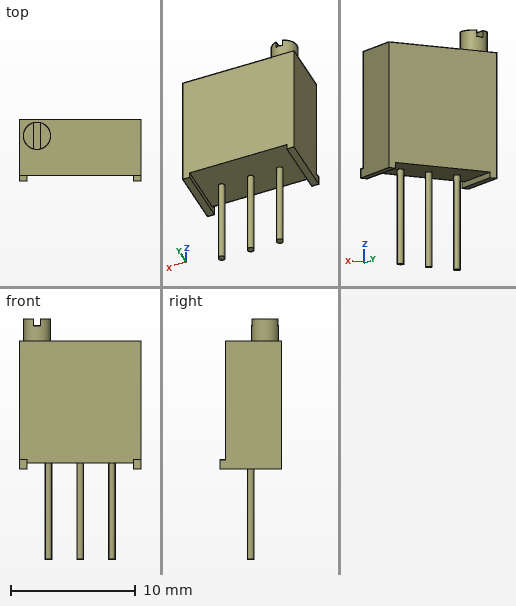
import cadquery as cq

total_height = 19.31
width = 9.77
total_depth = 4.96

foot_reach = 0.45
rail_width = 0.62
rail_drop = 0.46
foot_height = 0.75
case_depth = total_depth - foot_reach

screw_diameter = 2.18
screw_height = 1.75
screw_from_left = 1.4
screw_from_back = 1.33
slot_width = 0.55
slot_depth = 0.55

pin_diameter = 0.55
pin_length = 7.72
pin_pitch = 2.55
pin_count = 3

left_x = -width / 2
front_y = -total_depth / 2
back_y = total_depth / 2
case_height = total_height - pin_length - screw_height
screw_x = left_x + screw_from_left
screw_y = back_y - screw_from_back


def box_at(x, y, z, size_x, size_y, size_z):
    """Box whose lowest X, Y, Z corner is at (x, y, z)."""
    return cq.Workplane("XY").box(size_x, size_y, size_z, centered=False).translate((x, y, z))


def make_housing():
    """Plain block carried on a rail and foot at each end."""
    body = box_at(left_x, front_y + foot_reach, 0, width, case_depth, case_height)
    for rail_x in (left_x, width / 2 - rail_width):
        rail = box_at(rail_x, front_y, -rail_drop, rail_width, total_depth, rail_drop)
        foot = box_at(rail_x, front_y, -rail_drop, rail_width, foot_reach, foot_height)
        body = body.union(rail).union(foot)
    return body


def make_screw():
    """Round screw head standing on the housing, slotted along Y."""
    head = (
        cq.Workplane("XY", origin=(screw_x, screw_y, case_height))
        .circle(screw_diameter / 2)
        .extrude(screw_height)
    )
    slot = box_at(
        screw_x - slot_width / 2,
        screw_y - screw_diameter / 2,
        case_height + screw_height - slot_depth,
        slot_width,
        screw_diameter,
        slot_depth,
    )
    return head.cut(slot)


def make_pin(x):
    """Straight round pin hanging from the housing floor."""
    return cq.Workplane("XY", origin=(x, 0, 0)).circle(pin_diameter / 2).extrude(-pin_length)


housing = make_housing()
screw = make_screw()
pins = []
for index in range(pin_count):
    pin_x = (index - (pin_count - 1) / 2) * pin_pitch
    pins.append(make_pin(pin_x).val())

result = cq.Compound.makeCompound([housing.val(), screw.val(), *pins])